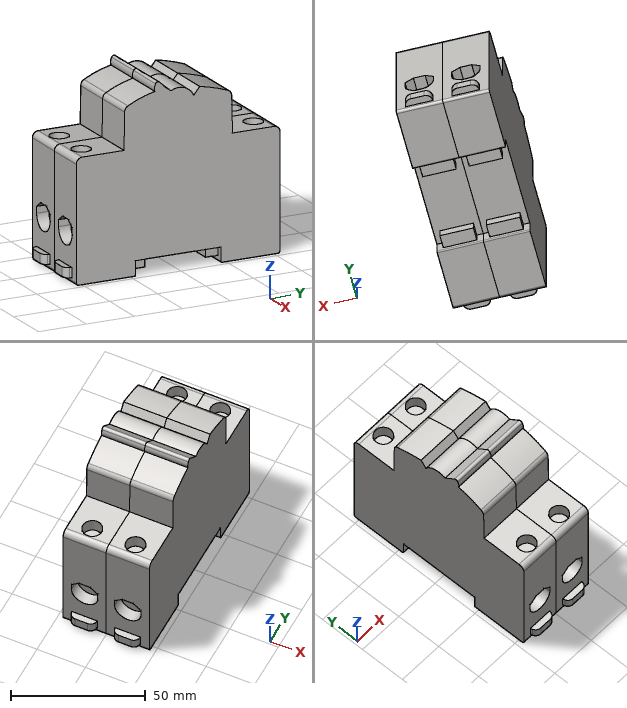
import cadquery as cq
import math


MODULE_COUNT = 2
MODULE_WIDTH = 17.8

HALF_LENGTH = 42.45
SHOULDER_Z = 49.8
TOWER_FOOT_HALF = 22.6
TOWER_HALF = 22.3
SHOULDER_FILLET = 2.4
FOOT_FILLET = 1.0
TOWER_FILLET = 2.5

SLOT_HALF = 17.8
SLOT_TOP_Z = 6.05
SLOT_LIP_FILLET = 0.45

CROWN_CORNER_Z = 66.1
REAR_CROWN_MIDDLE = (15.7, 68.4)
NOTCH_RIM = (8.9, 70.0)
FRONT_CROWN_MIDDLE = (-16.2, 69.0)
HANDLE_HEEL = (-9.75, 70.8)

HUB_Y = 0.2
HUB_Z = 63.9
HUB_RADIUS = 7.0
NOTCH_BOTTOM_Y = 6.5
HANDLE_ROOT_Y = -3.1
HANDLE_BULGE = (-9.9, 72.1)
HANDLE_TIP_Y = -8.5
HANDLE_TIP_Z = 73.4
HANDLE_TIP_RADIUS = 1.0
HANDLE_TIP_START = 49
HANDLE_TIP_END = 160

LATCH_OUTER_Y = 45.2
LATCH_INNER_Y = 12.6
LATCH_BOTTOM_Z = 2.1
LATCH_HALF_WIDTH = 5.3
LATCH_INNER_HALF_WIDTH = 6.4
LATCH_TIP_HALF_WIDTH = 4.5
LATCH_FILLET = 2.6

SCREW_HOLE_DIAMETER = 7.7
SCREW_HOLE_Y = 35.9
WIRE_HALF_WIDTH = 5.4
WIRE_ARC_Z = 18.9
WIRE_SIDE_TOP_Z = 21.6
WIRE_TOP_Z = 23.9
WIRE_TOP_HALF_WIDTH = 2.3
SCREW_HOLE_DEPTH = 5.5
WIRE_DEPTH = 5.1


def hub_point(y):
    """Point on the upper half of the hub at the given Y."""
    return (y, HUB_Z + math.sqrt(HUB_RADIUS**2 - (y - HUB_Y) ** 2))


def handle_tip_point(degrees):
    angle = math.radians(degrees)
    return (
        HANDLE_TIP_Y + HANDLE_TIP_RADIUS * math.cos(angle),
        HANDLE_TIP_Z + HANDLE_TIP_RADIUS * math.sin(angle),
    )


def round_corner(body, y, z, radius):
    """Fillet the edge along X that passes through (y, z)."""
    corner = cq.selectors.NearestToPointSelector((0, y, z))
    return body.edges("|X").edges(corner).fillet(radius)


def make_housing():
    outline = (
        cq.Workplane("YZ", origin=(-MODULE_WIDTH / 2, 0, 0))
        .moveTo(SLOT_HALF, SLOT_TOP_Z)
        .lineTo(SLOT_HALF, 0)
        .lineTo(HALF_LENGTH, 0)
        .lineTo(HALF_LENGTH, SHOULDER_Z)
        .lineTo(TOWER_FOOT_HALF, SHOULDER_Z)
        .lineTo(TOWER_HALF, CROWN_CORNER_Z)
        .threePointArc(REAR_CROWN_MIDDLE, NOTCH_RIM)
        .lineTo(*hub_point(NOTCH_BOTTOM_Y))
        .threePointArc(hub_point(HUB_Y), hub_point(HANDLE_ROOT_Y))
        .lineTo(*handle_tip_point(HANDLE_TIP_START))
        .threePointArc(handle_tip_point(90), handle_tip_point(HANDLE_TIP_END))
        .threePointArc(HANDLE_BULGE, HANDLE_HEEL)
        .threePointArc(FRONT_CROWN_MIDDLE, (-TOWER_HALF, CROWN_CORNER_Z))
        .lineTo(-TOWER_FOOT_HALF, SHOULDER_Z)
        .lineTo(-HALF_LENGTH, SHOULDER_Z)
        .lineTo(-HALF_LENGTH, 0)
        .lineTo(-SLOT_HALF, 0)
        .lineTo(-SLOT_HALF, SLOT_TOP_Z)
        .close()
    )
    housing = outline.extrude(MODULE_WIDTH)
    for side in (1, -1):
        housing = round_corner(housing, side * HALF_LENGTH, SHOULDER_Z, SHOULDER_FILLET)
        housing = round_corner(housing, side * HALF_LENGTH, 0, FOOT_FILLET)
        housing = round_corner(housing, side * SLOT_HALF, 0, SLOT_LIP_FILLET)
        housing = round_corner(housing, side * TOWER_HALF, CROWN_CORNER_Z, TOWER_FILLET)
    return housing


def make_latch():
    """Latch on the +Y side, reaching from inside the slot to beyond the housing end."""
    return (
        cq.Workplane("XY", origin=(0, 0, LATCH_BOTTOM_Z))
        .moveTo(-LATCH_INNER_HALF_WIDTH, LATCH_INNER_Y)
        .lineTo(LATCH_INNER_HALF_WIDTH, LATCH_INNER_Y)
        .lineTo(LATCH_INNER_HALF_WIDTH, SLOT_HALF)
        .lineTo(LATCH_HALF_WIDTH, SLOT_HALF)
        .lineTo(LATCH_HALF_WIDTH, HALF_LENGTH)
        .lineTo(LATCH_TIP_HALF_WIDTH, LATCH_OUTER_Y)
        .lineTo(-LATCH_TIP_HALF_WIDTH, LATCH_OUTER_Y)
        .lineTo(-LATCH_HALF_WIDTH, HALF_LENGTH)
        .lineTo(-LATCH_HALF_WIDTH, SLOT_HALF)
        .lineTo(-LATCH_INNER_HALF_WIDTH, SLOT_HALF)
        .close()
        .extrude(SLOT_TOP_Z - LATCH_BOTTOM_Z)
        .faces(">Y")
        .edges("|Z")
        .fillet(LATCH_FILLET)
    )


def make_screw_hole():
    """Vertical screw access hole in the +Y shoulder."""
    return (
        cq.Workplane("XY", origin=(0, SCREW_HOLE_Y, SHOULDER_Z))
        .circle(SCREW_HOLE_DIAMETER / 2)
        .extrude(-SCREW_HOLE_DEPTH)
    )


def make_wire_opening():
    """Wire opening in the +Y end: round below, with two cut corners above."""
    return (
        cq.Workplane("XZ", origin=(0, HALF_LENGTH, 0))
        .moveTo(-WIRE_HALF_WIDTH, WIRE_ARC_Z)
        .threePointArc((0, WIRE_ARC_Z - WIRE_HALF_WIDTH), (WIRE_HALF_WIDTH, WIRE_ARC_Z))
        .lineTo(WIRE_HALF_WIDTH, WIRE_SIDE_TOP_Z)
        .lineTo(WIRE_TOP_HALF_WIDTH, WIRE_TOP_Z)
        .lineTo(-WIRE_TOP_HALF_WIDTH, WIRE_TOP_Z)
        .lineTo(-WIRE_HALF_WIDTH, WIRE_SIDE_TOP_Z)
        .close()
        .extrude(WIRE_DEPTH)
    )


def make_module():
    """One breaker pole, centred on X = 0, with the same details at both ends."""
    latch = make_latch()
    openings = make_screw_hole().union(make_wire_opening())
    return (
        make_housing()
        .union(latch)
        .union(latch.mirror("XZ"))
        .cut(openings)
        .cut(openings.mirror("XZ"))
    )


module = make_module()
modules = []
for index in range(MODULE_COUNT):
    module_x = (index - (MODULE_COUNT - 1) / 2) * MODULE_WIDTH
    modules.append(module.translate((module_x, 0, 0)).val())

result = cq.Compound.makeCompound(modules)